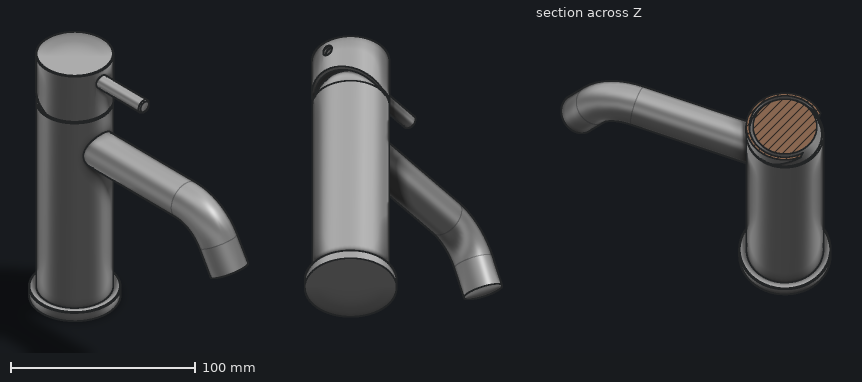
import cadquery as cq
import math

total_height = 160.2

base_radius = 25.0
base_height = 6.0
base_edge_chamfer = 0.5
column_radius = 21.0
column_top = 128.5

ball_radius = 20.0
ball_center_z = 127.4

cap_radius = 21.2
cap_bottom = 130.0
cap_rake_angle = 25.0
cap_top_chamfer = 0.5
cap_wall = 2.0
cap_recess_top = 141.0

lever_radius = 4.0
lever_z = 152.2
lever_end_x = 54.3
lever_end_chamfer = 0.8

screw_hole_radius = 2.9
screw_hole_z = 153.2
screw_hole_depth = 2.4
screw_hole_chamfer = 0.3

spout_diameter = 22.0
spout_z = 106.5
spout_straight_end_x = 85.9
spout_bend_radius = 29.3
spout_bend_angle = 60.0
spout_outlet_length = 17.5


def make_column():
    """Base flange with a chamfered top edge and the column standing on it."""
    base = cq.Workplane("XY").circle(base_radius).extrude(base_height)
    base = base.faces(">Z").edges().chamfer(base_edge_chamfer)
    column = cq.Workplane("XY").circle(column_radius).extrude(column_top)
    return base.union(column)


def make_ball():
    """Ball seated in the column top and reaching up into the cap."""
    return cq.Workplane("XY").sphere(ball_radius).translate((0, 0, ball_center_z))


def make_cap():
    """Handle cap: flat underside on +X, rising toward -X, with a round recess for the ball."""
    rake_rise = cap_radius * math.tan(math.radians(cap_rake_angle))
    cap = (
        cq.Workplane("XZ")
        .moveTo(-cap_radius, total_height)
        .lineTo(-cap_radius, cap_bottom + rake_rise)
        .lineTo(0, cap_bottom)
        .lineTo(cap_radius, cap_bottom)
        .lineTo(cap_radius, total_height)
        .close()
        .extrude(cap_radius, both=True)
    )
    round_bar = cq.Workplane("XY").circle(cap_radius).extrude(total_height)
    cap = cap.intersect(round_bar)
    cap = cap.faces(">Z").edges().chamfer(cap_top_chamfer)
    recess = cq.Workplane("XY").circle(cap_radius - cap_wall).extrude(cap_recess_top)
    return cap.cut(recess)


def make_lever():
    """Lever rod running from the cap axis out to +X, with a chamfered tip."""
    rod = cq.Workplane("YZ").center(0, lever_z).circle(lever_radius).extrude(lever_end_x)
    return rod.faces(">X").edges().chamfer(lever_end_chamfer)


def make_screw_hole():
    """Cutter for the blind set screw hole with a countersunk mouth."""
    mouth_radius = screw_hole_radius + screw_hole_chamfer
    return (
        cq.Workplane("XY")
        .moveTo(-cap_radius, 0)
        .lineTo(-cap_radius, mouth_radius)
        .lineTo(-cap_radius + screw_hole_chamfer, screw_hole_radius)
        .lineTo(-cap_radius + screw_hole_depth, screw_hole_radius)
        .lineTo(-cap_radius + screw_hole_depth, 0)
        .close()
        .revolve(360, (0, 0), (1, 0))
        .translate((0, 0, screw_hole_z))
    )


def make_spout():
    """Spout swept along a straight run, a downward bend and a straight outlet."""
    angle = math.radians(spout_bend_angle)

    def bend_point(turn):
        return (
            spout_straight_end_x + spout_bend_radius * math.sin(turn),
            spout_z - spout_bend_radius * (1 - math.cos(turn)),
        )

    path = (
        cq.Workplane("XZ")
        .moveTo(0, spout_z)
        .lineTo(*bend_point(0))
        .threePointArc(bend_point(angle / 2), bend_point(angle))
        .line(spout_outlet_length * math.cos(angle), -spout_outlet_length * math.sin(angle))
    )
    return cq.Workplane("YZ").center(0, spout_z).circle(spout_diameter / 2).sweep(path)


result = (
    make_column()
    .union(make_ball())
    .union(make_cap())
    .union(make_lever())
    .union(make_spout())
    .cut(make_screw_hole())
)